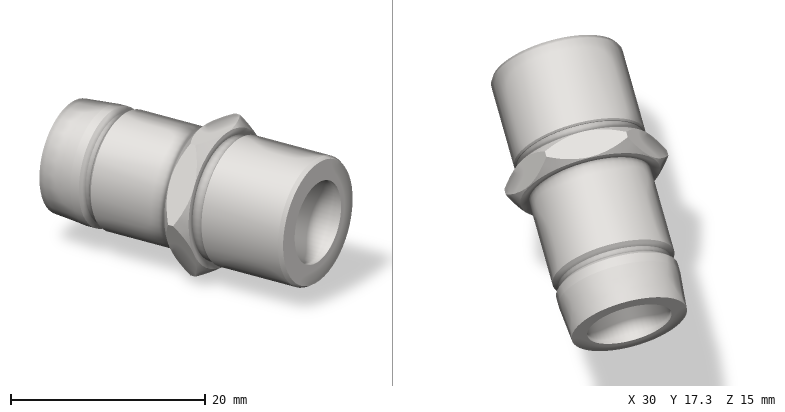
import cadquery as cq
import math

total_length = 30
bore_radius = 4.5

nose_length = 4.0
nose_end_radius = 6.15
barrel_radius = 6.5
groove_start = 5.0
groove_floor_start = 5.5
groove_floor_end = 6
groove_end = 6.48
groove_radius = 6

hex_start = 16.0
hex_width = 3
hex_across_flats = 15
hex_front_face_radius = 7.45
hex_back_face_radius = hex_across_flats / 2

neck_radius = 6.75
sleeve_start = 20.07
sleeve_radius = 7.02
sleeve_front_chamfer = 0.18
sleeve_end_chamfer_length = 0.45
sleeve_end_chamfer_depth = 0.27

hex_end = hex_start + hex_width
hex_corner_radius = hex_across_flats / 2 / math.cos(math.pi / 6)


def revolve_about_x(profile):
    return profile.close().revolve(360, (0, 0, 0), (1, 0, 0))


def turned_body():
    profile = (
        cq.Workplane("XZ")
        .lineTo(0, nose_end_radius)
        .lineTo(nose_length, barrel_radius)
        .lineTo(groove_start, barrel_radius)
        .lineTo(groove_floor_start, groove_radius)
        .lineTo(groove_floor_end, groove_radius)
        .lineTo(groove_end, barrel_radius)
        .lineTo(hex_start, barrel_radius)
        .lineTo(hex_start, neck_radius)
        .lineTo(sleeve_start, neck_radius)
        .lineTo(sleeve_start, sleeve_radius - sleeve_front_chamfer)
        .lineTo(sleeve_start + sleeve_front_chamfer, sleeve_radius)
        .lineTo(total_length - sleeve_end_chamfer_length, sleeve_radius)
        .lineTo(total_length, sleeve_radius - sleeve_end_chamfer_depth)
        .lineTo(total_length, 0)
    )
    return revolve_about_x(profile)


def hex_collar():
    prism = (
        cq.Workplane("YZ", origin=(hex_start, 0, 0))
        .polygon(6, 2 * hex_corner_radius)
        .extrude(hex_width)
    )
    front_chamfer = hex_corner_radius - hex_front_face_radius
    back_chamfer = hex_corner_radius - hex_back_face_radius
    cone_profile = (
        cq.Workplane("XZ")
        .moveTo(hex_start, 0)
        .lineTo(hex_start, hex_front_face_radius)
        .lineTo(hex_start + front_chamfer, hex_corner_radius)
        .lineTo(hex_end - back_chamfer, hex_corner_radius)
        .lineTo(hex_end, hex_back_face_radius)
        .lineTo(hex_end, 0)
    )
    return prism.intersect(revolve_about_x(cone_profile))


def bore():
    return cq.Workplane("YZ").circle(bore_radius).extrude(total_length)


result = turned_body().union(hex_collar()).cut(bore())